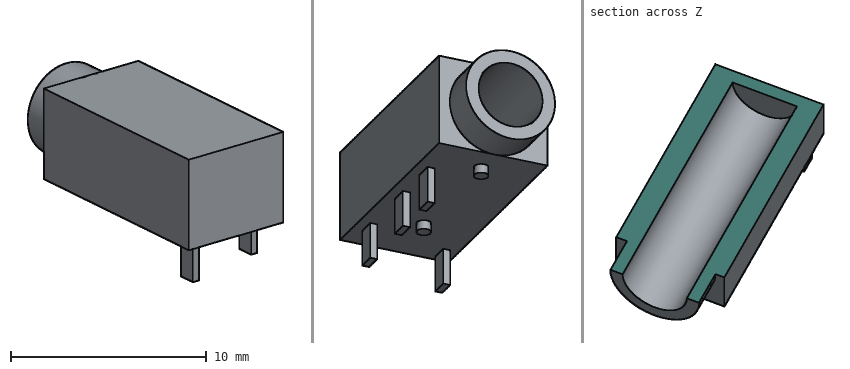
import cadquery as cq

total_length = 14.1
total_height = 7.0
body_width = 6.1
body_height = 5.0
collar_length = 2.0
collar_diameter = body_height
bore_diameter = 3.6
axis_offset = 0.05

peg_diameter = 0.75
peg_length = 0.5
peg_positions = [3.6, 10.6]

pin_width = 1.0
pin_thickness = 0.4
pin_length = total_height - body_height
left_pin_positions = [5.2, 8.2, 12.2]
right_pin_positions = [13.3]
pin_offset = (collar_diameter - pin_thickness) / 2

bore_depth = total_length - (collar_diameter - bore_diameter) / 2
body_bottom = -body_height / 2


def make_body():
    """Rectangular housing behind the collar."""
    body_length = total_length - collar_length
    return (
        cq.Workplane("XY")
        .box(body_length, body_width, body_height)
        .translate((collar_length + body_length / 2, axis_offset, 0))
    )


def make_cylinder(diameter, length):
    """Cylinder along the jack axis, starting at the collar face."""
    return cq.Workplane("YZ").circle(diameter / 2).extrude(length)


def make_pegs():
    """Round locating pegs on the centre line."""
    return (
        cq.Workplane("XY", origin=(0, 0, body_bottom))
        .pushPoints([(x, 0) for x in peg_positions])
        .circle(peg_diameter / 2)
        .extrude(-peg_length)
    )


def make_pins(x_positions, y):
    """One row of flat solder pins."""
    return (
        cq.Workplane("XY", origin=(0, 0, body_bottom))
        .pushPoints([(x, y) for x in x_positions])
        .rect(pin_width, pin_thickness)
        .extrude(-pin_length)
    )


result = (
    make_body()
    .union(make_cylinder(collar_diameter, collar_length))
    .cut(make_cylinder(bore_diameter, bore_depth))
    .union(make_pegs())
    .union(make_pins(left_pin_positions, pin_offset))
    .union(make_pins(right_pin_positions, -pin_offset))
)